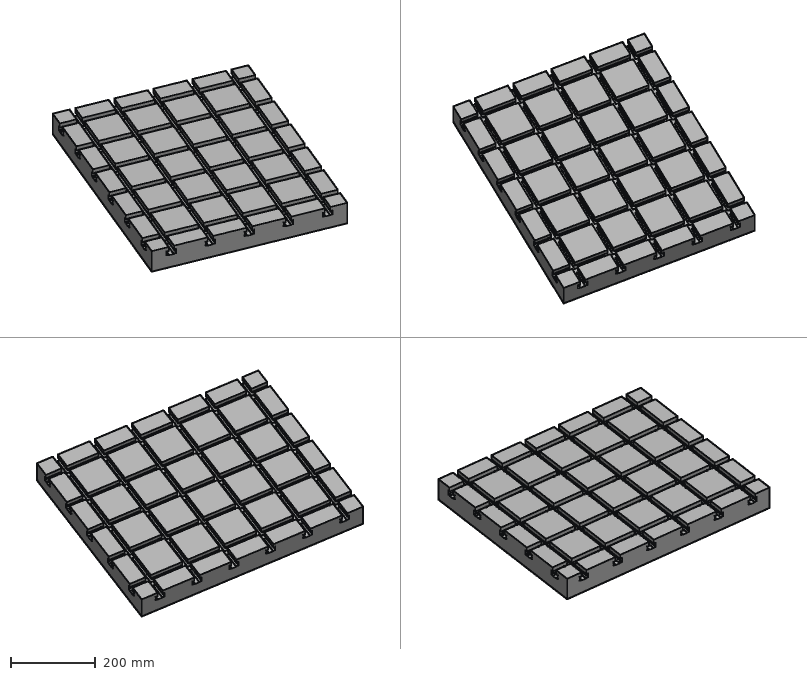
import cadquery as cq

plate_length = 600.0
plate_thickness = 60.0
slots_across_length = 6
slots_across_width = 5
slot_pitch = plate_length / slots_across_length
plate_width = slots_across_width * slot_pitch

slot_depth = 24.0
neck_depth = 12.0
relief_width = 12.0
relief_depth = 1.0
relief_inset = 1.0
head_overhang = 5.45
neck_width = relief_width + 2 * relief_inset
head_width = neck_width + 2 * head_overhang


def slot_offsets(count):
    """Centre offsets of evenly pitched slots, symmetric about zero."""
    return [(index - (count - 1) / 2) * slot_pitch for index in range(count)]


def t_slot(plane, offset, length):
    """T-slot cutter running along the plane's normal, moved sideways by offset."""
    groove_floor = plate_thickness - slot_depth
    head_floor = groove_floor + relief_depth
    shoulder = plate_thickness - neck_depth
    right_side = [
        (relief_width / 2, groove_floor),
        (relief_width / 2, head_floor),
        (head_width / 2, head_floor),
        (head_width / 2, shoulder),
        (neck_width / 2, shoulder),
        (neck_width / 2, plate_thickness),
    ]
    left_side = [(-across, height) for across, height in reversed(right_side)]
    outline = [(offset + across, height) for across, height in right_side + left_side]
    return cq.Workplane(plane).polyline(outline).close().extrude(length / 2, both=True)


result = cq.Workplane("XY").box(plate_length, plate_width, plate_thickness, centered=(True, True, False))

for slot_x in slot_offsets(slots_across_length):
    result = result.cut(t_slot("XZ", slot_x, plate_width))

for slot_y in slot_offsets(slots_across_width):
    result = result.cut(t_slot("YZ", slot_y, plate_length))